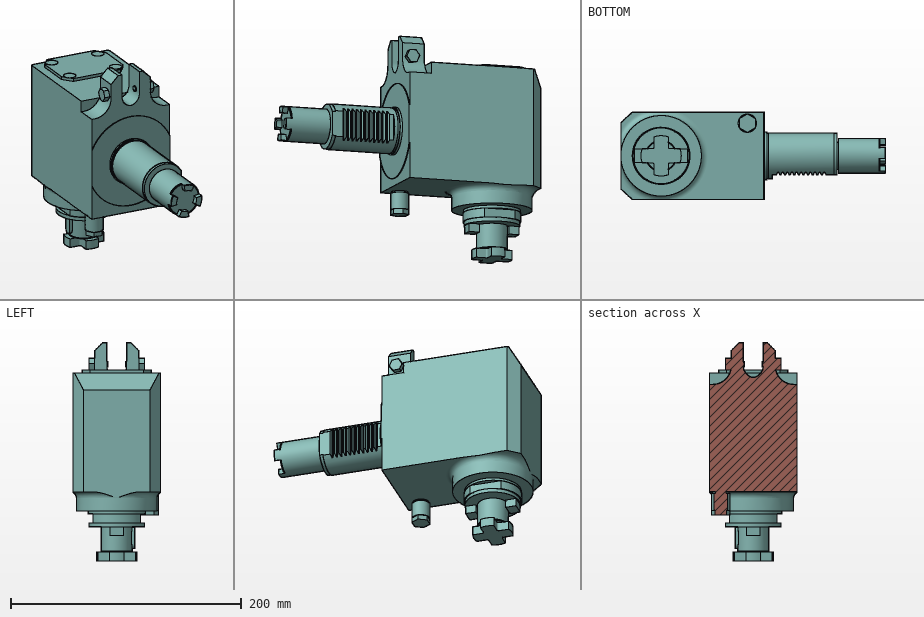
import cadquery as cq
import math


housing_length = 124.0
housing_width = 76.0
housing_top = 55.5
housing_bottom = -47.75
side_chamfer_length = 10.0
side_chamfer_width = 9.25
brow_chamfer_height = 15.0
brow_chamfer_angle = 60.0
seat_disc_diameter = 83.0
seat_disc_thickness = 0.7

step_length = 20.0
step_z = 45.6
lug_top = 81.75
lug_inner_y = 8.5
lug_outer_y = 19.2
lug_chamfer = 7.0
lug_outer_radius = 15.8
lug_inner_radius = 10.0
groove_floor_half_width = 1.0

bolt_x = -8.2
bolt_z = 63.0
bolt_head_flats = 10.3
bolt_head_turn = -5.0
bolt_head_height = 4.9
bolt_end_diameter = 5.0
bolt_end_protrusion = 0.8

cover_length = 50.0
cover_width = 60.0
cover_thickness = 2.65
cover_corner_length = 9.0
cover_corner_width = 7.0
screw_diameter = 10.8
screw_spacing_x = 34.0
screw_spacing_y = 45.0
screw_recess = 0.2

shank_diameter = 40.0
shank_end = 63.8
shank_lip_diameter = 39.2
shank_lip_length = 3.0
shank_collar_diameter = 41.6
shank_collar_end = 2.7
shank_relief_diameter = 39.6
shank_relief_end = 4.3
shank_flat_y = 16.5
shank_flat_start = 7.5
tooth_count = 11
tooth_pitch = 4.0
tooth_depth = 2.2
first_groove_x = 12.5
groove_root_width = 0.8
groove_mouth_width = 3.0

stub_diameter = 30.4
stub_start = 64.8
stub_end = 105.85
stub_neck_diameter = 24.0
stub_chamfer = 0.5
claw_count = 4
claw_angle = 38.0
first_claw_angle = 80.0
claw_height = 5.8
claw_bore_diameter = 19.4
claw_bore_depth = 4.9
claw_core_diameter = 28.6

head_x = -89.0
head_diameter = 69.96
head_bottom = -64.4
head_flare_radius = 5.6
nut_diameter = 50.2
nut_rim_diameter = 49.6
nut_rim_bottom = -66.8
nut_flats = 41.4
nut_flats_bottom = -74.7
nut_lip_diameter = 48.5
nut_lip_bottom = -78.2
drive_key_inner_span = 27.3
drive_key_outer_span = 46.0
drive_key_width = 12.0
drive_key_bottom = -85.4
spindle_diameter = 27.0
spindle_bottom = -98.9
undercut_diameter = 26.0
cross_top = -99.7
cross_bottom = -107.75
cross_diameter = 35.0
cross_arm_width = 12.4
cross_corner_radius = 1.4
feather_key_width = 7.2
feather_key_top = -78.5
feather_key_bottom = -96.9
feather_key_y = -15.7

pin_x = -14.2
pin_y = -28.3
pin_diameter = 15.9
pin_neck_diameter = 14.2
pin_neck_bottom = -49.1
pin_bottom = -63.7
pin_hex_flats = 14.0
pin_hex_bottom = -68.0


def disc_x(diameter, start, end):
    """Cylinder on the shank axis between two X positions."""
    return cq.Workplane("YZ", origin=(start, 0, 0)).circle(diameter / 2).extrude(end - start)


def disc_z(diameter, top, bottom, x=head_x, y=0):
    """Vertical cylinder between two heights, on the spindle axis by default."""
    return cq.Workplane("XY", origin=(x, y, bottom)).circle(diameter / 2).extrude(top - bottom)


def box_between(x_range, y_range, z_range):
    """Box spanning the given X, Y and Z ranges."""
    spans = [high - low for low, high in (x_range, y_range, z_range)]
    return cq.Workplane("XY").box(*spans, centered=False).translate((x_range[0], y_range[0], z_range[0]))


def hex_diameter(flats):
    """Corner diameter of a hexagon with the given width across flats."""
    return flats / math.cos(math.radians(30))


def housing_prism(bottom, top):
    """Upright prism with the housing's plan outline."""
    half = housing_width / 2
    front = -housing_length
    outline = [
        (0, -half),
        (front + side_chamfer_length, -half),
        (front, side_chamfer_width - half),
        (front, half - side_chamfer_width),
        (front + side_chamfer_length, half),
        (0, half),
    ]
    return cq.Workplane("XY", origin=(0, 0, bottom)).polyline(outline).close().extrude(top - bottom)


def make_housing():
    brow_length = brow_chamfer_height / math.tan(math.radians(brow_chamfer_angle))
    brow = (
        cq.Workplane("XZ", origin=(0, housing_width / 2, 0))
        .moveTo(-housing_length, housing_top)
        .lineTo(brow_length - housing_length, housing_top)
        .lineTo(-housing_length, housing_top - brow_chamfer_height)
        .close()
        .extrude(housing_width)
    )
    step = box_between(
        (-step_length, 0), (-housing_width / 2, housing_width / 2), (step_z, housing_top)
    )
    seat = disc_x(seat_disc_diameter, 0, seat_disc_thickness).intersect(
        box_between(
            (0, seat_disc_thickness),
            (-housing_width / 2, housing_width / 2),
            (-seat_disc_diameter / 2, seat_disc_diameter / 2),
        )
    )
    return housing_prism(housing_bottom, housing_top).cut(brow).cut(step).union(seat)


def make_lugs():
    """Twin lugs on the step, flared at the foot, with a rounded groove between them."""
    flare_z = step_z + lug_outer_radius
    flare_y = lug_outer_y + lug_outer_radius
    diagonal = math.sqrt(0.5)
    flare_mid = (flare_y - lug_outer_radius * diagonal, flare_z - lug_outer_radius * diagonal)
    groove_center_y = lug_inner_y - lug_inner_radius
    groove_center_z = flare_z
    floor_angle = -math.acos((groove_floor_half_width - groove_center_y) / lug_inner_radius)

    def groove_point(angle):
        return (
            groove_center_y + lug_inner_radius * math.cos(angle),
            groove_center_z + lug_inner_radius * math.sin(angle),
        )

    half = (
        cq.Workplane("YZ", origin=(-step_length, 0, 0))
        .moveTo(0, step_z)
        .lineTo(flare_y, step_z)
        .threePointArc(flare_mid, (lug_outer_y, flare_z))
        .lineTo(lug_outer_y, lug_top - lug_chamfer)
        .lineTo(lug_outer_y - lug_chamfer, lug_top)
        .lineTo(lug_inner_y, lug_top)
        .lineTo(*groove_point(0))
        .threePointArc(groove_point(floor_angle / 2), groove_point(floor_angle))
        .lineTo(0, groove_point(floor_angle)[1])
        .close()
        .extrude(step_length)
    )
    return half.union(half.mirror("XZ"))


def make_lug_bolts():
    head_end = lug_outer_y + bolt_head_height
    shaft_end = lug_inner_y - bolt_end_protrusion
    head = (
        cq.Workplane("XZ", origin=(bolt_x, head_end, bolt_z))
        .transformed(rotate=(0, 0, bolt_head_turn))
        .polygon(6, hex_diameter(bolt_head_flats))
        .extrude(bolt_head_height)
    )
    shaft = (
        cq.Workplane("XZ", origin=(bolt_x, head_end, bolt_z))
        .circle(bolt_end_diameter / 2)
        .extrude(head_end - shaft_end)
    )
    bolt = head.union(shaft)
    return bolt.union(bolt.mirror("XZ"))


def make_cover():
    half_length = cover_length / 2
    half_width = cover_width / 2
    cover_top = housing_top + cover_thickness
    corner = [
        (half_length, half_width - cover_corner_width),
        (half_length - cover_corner_length, half_width),
    ]
    outline = (
        corner
        + [(-x, y) for x, y in reversed(corner)]
        + [(-x, -y) for x, y in corner]
        + [(x, -y) for x, y in reversed(corner)]
    )
    plate = (
        cq.Workplane("XY", origin=(head_x, 0, housing_top))
        .polyline(outline)
        .close()
        .extrude(cover_thickness)
    )
    screws = (
        cq.Workplane("XY", origin=(head_x, 0, cover_top - screw_recess))
        .rect(screw_spacing_x, screw_spacing_y, forConstruction=True)
        .vertices()
        .circle(screw_diameter / 2)
        .extrude(screw_recess)
    )
    return plate.cut(screws)


def make_shank():
    """Cylindrical shank with a toothed flat on its +Y side."""
    lip_start = shank_end - shank_lip_length
    shank = disc_x(shank_relief_diameter, 0, shank_relief_end)
    shank = shank.union(disc_x(shank_diameter, shank_relief_end, lip_start))
    shank = shank.union(disc_x(shank_lip_diameter, lip_start, shank_end))
    radius = shank_diameter / 2
    shank = shank.cut(
        box_between((shank_flat_start, shank_end), (shank_flat_y, radius), (-radius, radius))
    )
    for index in range(tooth_count):
        x = first_groove_x + index * tooth_pitch
        groove = (
            cq.Workplane("XY", origin=(x, 0, -radius))
            .moveTo(-groove_mouth_width / 2, shank_flat_y)
            .lineTo(-groove_root_width / 2, shank_flat_y - tooth_depth)
            .lineTo(groove_root_width / 2, shank_flat_y - tooth_depth)
            .lineTo(groove_mouth_width / 2, shank_flat_y)
            .close()
            .extrude(shank_diameter)
        )
        shank = shank.cut(groove)
    return shank.union(disc_x(shank_collar_diameter, 0, shank_collar_end))


def make_drive_stub():
    """Stub with a shallow end bore and, around it, claws whose gaps step down at the rim."""
    stub = disc_x(stub_diameter, stub_start, stub_end).faces(">X").edges().chamfer(stub_chamfer)
    stub = stub.cut(disc_x(claw_bore_diameter, stub_end - claw_bore_depth, stub_end))
    core = disc_x(claw_core_diameter, stub_end - claw_height, stub_end - claw_bore_depth)
    claw_pitch = 360 / claw_count
    half_gap = math.radians(claw_pitch - claw_angle) / 2
    for index in range(claw_count):
        gap_angle = first_claw_angle + (index + 0.5) * claw_pitch
        gap = (
            cq.Workplane("YZ", origin=(stub_end - claw_height, 0, 0))
            .lineTo(stub_diameter, stub_diameter * math.tan(half_gap))
            .lineTo(stub_diameter, -stub_diameter * math.tan(half_gap))
            .close()
            .extrude(claw_height)
            .rotate((0, 0, 0), (1, 0, 0), gap_angle)
        )
        stub = stub.cut(gap.cut(core))
    return stub.union(disc_x(stub_neck_diameter, shank_end, stub_start))


def make_head():
    """Round head below the housing, flared where it meets the housing floor."""
    radius = head_diameter / 2
    flare_z = housing_bottom - head_flare_radius
    flare_inset = head_flare_radius * (1 - math.sqrt(0.5))
    head = (
        cq.Workplane("XZ", origin=(head_x, 0, 0))
        .moveTo(0, housing_bottom)
        .lineTo(radius + head_flare_radius, housing_bottom)
        .threePointArc(
            (radius + flare_inset, housing_bottom - flare_inset),
            (radius, flare_z),
        )
        .lineTo(radius, head_bottom)
        .lineTo(0, head_bottom)
        .close()
        .revolve(360, (0, 0, 0), (0, 1, 0))
    )
    return head.intersect(housing_prism(head_bottom, housing_bottom))


def make_nut():
    nut_radius = nut_diameter / 2
    across_flats = box_between(
        (head_x - nut_radius, head_x + nut_radius),
        (-nut_flats / 2, nut_flats / 2),
        (nut_flats_bottom, nut_rim_bottom),
    )
    flatted = disc_z(nut_diameter, nut_rim_bottom, nut_flats_bottom).intersect(across_flats)
    rim = disc_z(nut_rim_diameter, head_bottom, nut_rim_bottom)
    lip = disc_z(nut_lip_diameter, nut_flats_bottom, nut_lip_bottom)
    return rim.union(flatted).union(lip)


def make_spindle():
    feather_key = (
        cq.Workplane("XZ", origin=(head_x, 0, (feather_key_top + feather_key_bottom) / 2))
        .slot2D(feather_key_top - feather_key_bottom, feather_key_width, 90)
        .extrude(-feather_key_y)
    )
    spindle = disc_z(spindle_diameter, nut_lip_bottom, spindle_bottom)
    undercut = disc_z(undercut_diameter, spindle_bottom, cross_top)
    return spindle.union(undercut).union(feather_key)


def make_drive_keys():
    """Pair of blocks under the nut, one on each side of the spindle."""
    keys = box_between(
        (head_x - drive_key_outer_span / 2, head_x + drive_key_outer_span / 2),
        (-drive_key_width / 2, drive_key_width / 2),
        (drive_key_bottom, nut_lip_bottom),
    )
    gap = box_between(
        (head_x - drive_key_inner_span / 2, head_x + drive_key_inner_span / 2),
        (-drive_key_width / 2, drive_key_width / 2),
        (drive_key_bottom, nut_lip_bottom),
    )
    return keys.cut(gap)


def make_cross():
    """Four-armed coupling cross with a round envelope and filleted inner corners."""
    height = cross_top - cross_bottom
    base = cq.Workplane("XY", origin=(head_x, 0, cross_bottom))
    arms = base.rect(2 * cross_diameter, cross_arm_width).extrude(height)
    arms = arms.union(base.rect(cross_arm_width, 2 * cross_diameter).extrude(height))
    inner_corners = cq.selectors.BoxSelector(
        (head_x - cross_arm_width, -cross_arm_width, cross_bottom),
        (head_x + cross_arm_width, cross_arm_width, cross_top),
    )
    arms = arms.edges("|Z").edges(inner_corners).fillet(cross_corner_radius)
    return arms.intersect(disc_z(cross_diameter, cross_top, cross_bottom))


def make_pin():
    neck = disc_z(pin_neck_diameter, housing_bottom, pin_neck_bottom, pin_x, pin_y)
    body = disc_z(pin_diameter, pin_neck_bottom, pin_bottom, pin_x, pin_y)
    tip = (
        cq.Workplane("XY", origin=(pin_x, pin_y, pin_hex_bottom))
        .transformed(rotate=(0, 0, 30))
        .polygon(6, hex_diameter(pin_hex_flats))
        .extrude(pin_bottom - pin_hex_bottom)
    )
    return neck.union(body).union(tip)


result = make_housing()
for feature in (
    make_lugs(),
    make_lug_bolts(),
    make_cover(),
    make_shank(),
    make_drive_stub(),
    make_head(),
    make_nut(),
    make_spindle(),
    make_drive_keys(),
    make_cross(),
    make_pin(),
):
    result = result.union(feature)